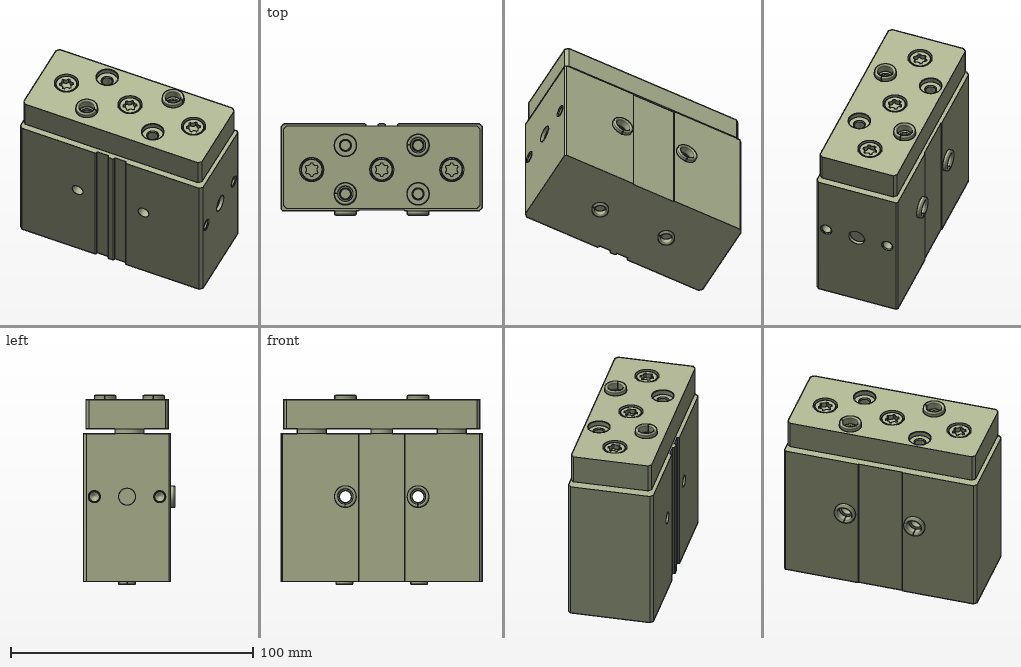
import cadquery as cq
import math


housing_x = 83.0
housing_y = 36.0
housing_z = 61.0
corner_chamfer = 1.25
small_corner_chamfer = 0.7
front_recess_width = 19.25
front_recess_depth = 0.3
back_recess_width = 13.1
back_recess_depth = 1.0
back_edge_chamfer = 0.5
rib_width = 3.0
cross_hole_diameter = 4.9
cross_hole_z = 35.0

side_locating_diameter = 7.0
side_locating_depth = 1.6
thread_diameter = 4.15
thread_mouth_diameter = 5.0
side_thread_spacing = 27.0
side_thread_depth = 6.6
drill_point_angle = 118.0

plate_x = 81.0
plate_y = 34.0
plate_z = 12.0
plate_gap = 2.0

rod_spacing = 28.9
rod_axis_y = -1.0
guide_rod_diameter = 12.0
centre_rod_diameter = 9.0
rod_insertion = 49.8
neck_diameter = 5.2
head_recess_diameter = 10.0
head_diameter = 9.0
head_height = 4.0
head_sink = 0.5
head_chamfer = 0.25
recess_depth = head_height + head_sink

socket_tip_radius = 2.8
socket_valley_radius = 2.15
socket_tip_half_angle = 8.0
socket_lobes = 6
socket_depth = 2.0

sleeve_diameter = 9.0
sleeve_bore = 6.3
sleeve_seat_depth = 2.15
plate_seat_chamfer = 0.2
sleeve_projection = 1.8
sleeve_slit_angle = 2.5
small_sleeve_diameter = 7.0
small_sleeve_bore = 4.9
small_sleeve_projection = 1.25
sleeve_pitch_x = 30.0
sleeve_pitch_y = 20.0
bottom_sleeve_pitch_x = 30.9

front_y = -housing_y / 2
back_y = housing_y / 2
plate_bottom_z = housing_z + plate_gap
plate_top_z = plate_bottom_z + plate_z
head_bottom_z = plate_top_z - recess_depth
rod_bottom_z = housing_z - rod_insertion
plate_hole_places = [
    (side_x * sleeve_pitch_x / 2, rod_axis_y + side_y * sleeve_pitch_y / 2)
    for side_x in (-1, 1)
    for side_y in (-1, 1)
]
top_sleeve_places = [(x, y) for x, y in plate_hole_places if x * (y - rod_axis_y) > 0]
front_sleeve_places = [(side * sleeve_pitch_x / 2, cross_hole_z) for side in (-1, 1)]
bottom_sleeve_places = [(side * bottom_sleeve_pitch_x / 2, 0) for side in (-1, 1)]
guide_rod_places = [(side * rod_spacing, rod_axis_y) for side in (-1, 1)]
centre_place = (0, rod_axis_y)


def cylinder(diameter, place, bottom_z, top_z):
    """Upright cylinder between two heights."""
    base = cq.Workplane("XY").workplane(offset=bottom_z).center(*place)
    return base.circle(diameter / 2).extrude(top_z - bottom_z)


def drive_socket(place):
    """Six-lobed socket sunk into a screw head."""

    def polar(radius, degrees):
        angle = math.radians(degrees)
        return (radius * math.cos(angle), radius * math.sin(angle))

    pitch = 360 / socket_lobes
    start = 90 - socket_tip_half_angle
    head_top_z = plate_top_z - head_sink
    outline = cq.Workplane("XY").workplane(offset=head_top_z).center(*place)
    outline = outline.moveTo(*polar(socket_tip_radius, start))
    for lobe in range(socket_lobes):
        tip = 90 + lobe * pitch
        outline = outline.threePointArc(
            polar(socket_tip_radius, tip),
            polar(socket_tip_radius, tip + socket_tip_half_angle),
        )
        outline = outline.threePointArc(
            polar(socket_valley_radius, tip + pitch / 2),
            polar(socket_tip_radius, tip + pitch - socket_tip_half_angle),
        )
    return outline.close().extrude(-socket_depth)


def screw_head(place):
    """Chamfered screw head with its drive socket."""
    head = cylinder(head_diameter, place, head_bottom_z, plate_top_z - head_sink)
    return head.faces(">Z").edges().chamfer(head_chamfer).cut(drive_socket(place))


def side_thread(y):
    """Blind tapped hole entering the -X face, with mouth chamfer and drill point."""
    radius = thread_diameter / 2
    mouth_radius = thread_mouth_diameter / 2
    point_length = radius / math.tan(math.radians(drill_point_angle / 2))
    profile = [
        (0, 0),
        (0, mouth_radius),
        (mouth_radius - radius, radius),
        (side_thread_depth, radius),
        (side_thread_depth + point_length, 0),
    ]
    hole = cq.Workplane("XY").polyline(profile).close().revolve(360, (0, 0), (1, 0))
    return hole.translate((-housing_x / 2, y, cross_hole_z))


def sleeve(diameter, bore, projection):
    """Sleeve along +Z with both rims rounded and a slit on -X, seated below the origin."""
    inner = bore / 2
    outer = diameter / 2
    rim_radius = (outer - inner) / 2
    middle = inner + rim_radius
    upper_z = projection - rim_radius
    lower_z = rim_radius - sleeve_seat_depth
    profile = (
        cq.Workplane("XZ")
        .moveTo(outer, lower_z)
        .lineTo(outer, upper_z)
        .threePointArc((middle, projection), (inner, upper_z))
        .lineTo(inner, lower_z)
        .threePointArc((middle, -sleeve_seat_depth), (outer, lower_z))
        .close()
    )
    tube = profile.revolve(360 - sleeve_slit_angle, (0, 0), (0, 1))
    return tube.rotate((0, 0, 0), (0, 0, 1), 180 - sleeve_slit_angle / 2)


def top_sleeve(place):
    x, y = place
    return sleeve(sleeve_diameter, sleeve_bore, sleeve_projection).translate((x, y, plate_top_z))


def front_sleeve(place):
    x, z = place
    upright = sleeve(sleeve_diameter, sleeve_bore, sleeve_projection)
    slit_down = upright.rotate((0, 0, 0), (0, 0, 1), 90)
    return slit_down.rotate((0, 0, 0), (1, 0, 0), 90).translate((x, front_y, z))


def bottom_sleeve(place):
    x, y = place
    upright = sleeve(small_sleeve_diameter, small_sleeve_bore, small_sleeve_projection)
    return upright.rotate((0, 0, 0), (1, 0, 0), 180).translate((x, y, 0))


def housing_block():
    """Prism with chamfered corners, a shallow front recess and a ribbed back recess."""
    block = cq.Workplane("XY").box(housing_x, housing_y, housing_z, centered=(True, True, False))
    block = block.edges("|Z and (>X or >Y)").chamfer(corner_chamfer)
    block = block.edges("|Z and <X and <Y").chamfer(small_corner_chamfer)

    front_half = front_recess_width / 2
    front_floor = front_y + front_recess_depth
    front_recess = [
        (-front_half, front_y),
        (-front_half + front_recess_depth, front_floor),
        (front_half - front_recess_depth, front_floor),
        (front_half, front_y),
    ]
    block = block.cut(cq.Workplane("XY").polyline(front_recess).close().extrude(housing_z))

    back_floor = back_y - back_recess_depth
    recess_half = back_recess_width / 2
    rib_half = rib_width / 2
    for side in (-1, 1):
        channel = [
            (side * rib_half, back_floor),
            (side * rib_half, back_y - back_edge_chamfer),
            (side * (rib_half - back_edge_chamfer), back_y),
            (side * (recess_half + back_edge_chamfer), back_y),
            (side * recess_half, back_y - back_edge_chamfer),
            (side * recess_half, back_floor),
        ]
        block = block.cut(cq.Workplane("XY").polyline(channel).close().extrude(housing_z))
    return block


def make_housing():
    body = housing_block()
    for place in guide_rod_places:
        body = body.cut(cylinder(guide_rod_diameter, place, rod_bottom_z, housing_z))
    body = body.cut(cylinder(centre_rod_diameter, centre_place, rod_bottom_z, housing_z))

    for x, z in front_sleeve_places:
        front = cq.Workplane("XZ", origin=(x, front_y, z))
        body = body.cut(front.circle(cross_hole_diameter / 2).extrude(-housing_y))
        body = body.cut(front.circle(sleeve_diameter / 2).extrude(-sleeve_seat_depth))
    for place in bottom_sleeve_places:
        body = body.cut(cylinder(small_sleeve_diameter, place, 0, sleeve_seat_depth))

    side_face = cq.Workplane("YZ", origin=(-housing_x / 2, 0, cross_hole_z))
    body = body.cut(side_face.circle(side_locating_diameter / 2).extrude(side_locating_depth))
    for side in (-1, 1):
        body = body.cut(side_thread(side * side_thread_spacing / 2))
    return body


def plate_hole(place):
    """Tapped through hole with a chamfered mouth, below a sleeve seat with a chamfered edge."""
    seat_z = -sleeve_seat_depth
    seat_radius = sleeve_diameter / 2
    radius = thread_diameter / 2
    mouth_radius = thread_mouth_diameter / 2
    profile = [
        (0, 0),
        (seat_radius + plate_seat_chamfer, 0),
        (seat_radius, -plate_seat_chamfer),
        (seat_radius, seat_z),
        (mouth_radius, seat_z),
        (radius, seat_z - (mouth_radius - radius)),
        (radius, -plate_z),
        (0, -plate_z),
    ]
    hole = cq.Workplane("XZ").polyline(profile).close().revolve(360, (0, 0), (0, 1))
    x, y = place
    return hole.translate((x, y, plate_top_z))


def make_yoke():
    """Plate with its centre rod and centre screw head, bored for the guide rods and sleeves."""
    plate = cq.Workplane("XY").box(plate_x, plate_y, plate_z, centered=(True, True, False))
    plate = plate.edges("|Z").chamfer(corner_chamfer)
    plate = plate.translate((0, 0, plate_bottom_z))

    for place in [centre_place, *guide_rod_places]:
        plate = plate.cut(cylinder(head_recess_diameter, place, head_bottom_z, plate_top_z))
    for place in guide_rod_places:
        plate = plate.cut(cylinder(neck_diameter, place, plate_bottom_z, plate_top_z))
    for place in plate_hole_places:
        plate = plate.cut(plate_hole(place))

    rod = cylinder(centre_rod_diameter, centre_place, rod_bottom_z, plate_bottom_z)
    return plate.union(rod).union(screw_head(centre_place))


def make_guide_rod(place):
    """Rod in the housing, with a neck through the plate and a screw head on top."""
    rod = cylinder(guide_rod_diameter, place, rod_bottom_z, plate_bottom_z)
    neck = cylinder(neck_diameter, place, plate_bottom_z, head_bottom_z)
    return rod.union(neck).union(screw_head(place))


housing = make_housing()
yoke = make_yoke()
guide_rods = [make_guide_rod(place) for place in guide_rod_places]
sleeves = [top_sleeve(place) for place in top_sleeve_places]
sleeves += [front_sleeve(place) for place in front_sleeve_places]
sleeves += [bottom_sleeve(place) for place in bottom_sleeve_places]

bodies = [housing, yoke, *guide_rods, *sleeves]
result = cq.Compound.makeCompound([body.solids().val() for body in bodies])